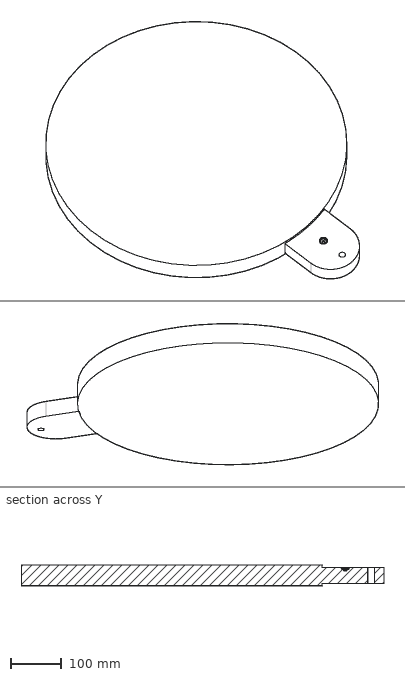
import cadquery as cq

overall_length = 715.0
disc_diameter = 594.0
disc_thickness = 41.5
tab_width = 114.5
tab_thickness = 32.0

through_hole_offset = 96.0
through_hole_diameter = 12.0
stepped_hole_offset = 45.0
stepped_hole_diameters = (16.0, 13.0, 6.0)
step_height = 2.0

disc_radius = disc_diameter / 2
tab_radius = tab_width / 2
tab_end_x = overall_length - disc_radius
tab_arc_x = tab_end_x - tab_radius
tab_top_z = tab_thickness / 2


def make_disc():
    """Flat round disc, centred in height on the XY plane."""
    return cq.Workplane("XY").circle(disc_radius).extrude(disc_thickness / 2, both=True)


def make_tab():
    """Round-ended tab that runs from inside the disc out along +X."""
    return (
        cq.Workplane("XY")
        .moveTo(0, -tab_radius)
        .lineTo(tab_arc_x, -tab_radius)
        .threePointArc((tab_end_x, 0), (tab_arc_x, tab_radius))
        .lineTo(0, tab_radius)
        .close()
        .extrude(tab_thickness / 2, both=True)
    )


def make_hole(rim_offset, diameter, depth):
    """Cutter for a round hole sunk from the top face of the tab."""
    return (
        cq.Workplane("XY", origin=(disc_radius + rim_offset, 0, tab_top_z))
        .circle(diameter / 2)
        .extrude(-depth)
    )


result = make_disc().union(make_tab())
result = result.cut(make_hole(through_hole_offset, through_hole_diameter, tab_thickness))

for step, diameter in enumerate(stepped_hole_diameters, start=1):
    result = result.cut(make_hole(stepped_hole_offset, diameter, step * step_height))